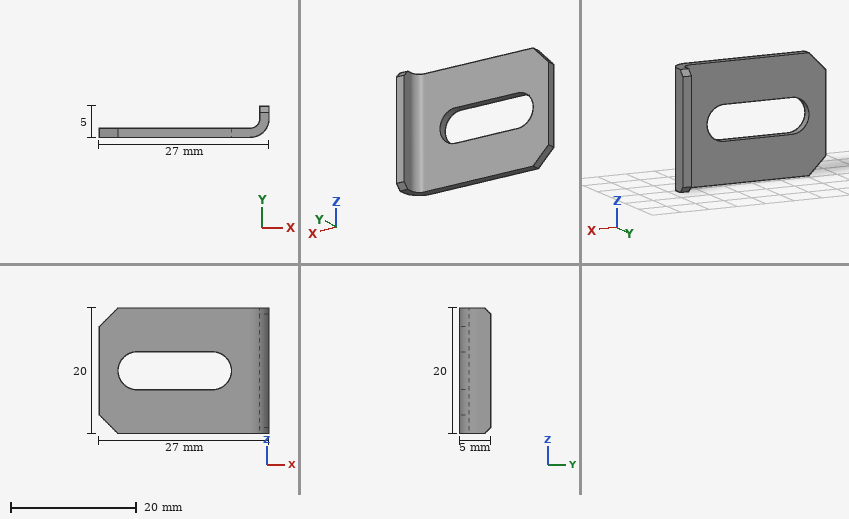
import cadquery as cq

length = 27.0
depth = 5.0
height = 20.0
thickness = 1.5
inner_bend_radius = 1.5
plate_chamfer = 3.0
flange_chamfer = 1.0
slot_width = 6.0
slot_length = 18.0
slot_margin = 3.0

outer_bend_radius = inner_bend_radius + thickness
slot_center_x = slot_margin + slot_length / 2


def bent_sheet():
    """L-shaped sheet: a plate along X with a short flange turned toward +Y."""
    sheet = (
        cq.Workplane("XY")
        .moveTo(0, 0)
        .lineTo(length - outer_bend_radius, 0)
        .radiusArc((length, outer_bend_radius), -outer_bend_radius)
        .lineTo(length, depth)
        .lineTo(length - thickness, depth)
        .lineTo(length - thickness, outer_bend_radius)
        .radiusArc((length - outer_bend_radius, thickness), inner_bend_radius)
        .lineTo(0, thickness)
        .close()
        .extrude(height / 2, both=True)
    )
    return sheet


def chamfer_corners(sheet):
    """Bevel the two plate corners and the two flange corners."""
    beveled = sheet.faces("<X").edges("|Y").chamfer(plate_chamfer)
    return beveled.faces(">Y").edges("|X").chamfer(flange_chamfer)


def slot_cutter():
    """Round-ended slot along X, passing through the plate only."""
    return (
        cq.Workplane("XZ")
        .center(slot_center_x, 0)
        .slot2D(slot_length, slot_width)
        .extrude(-thickness)
    )


result = chamfer_corners(bent_sheet()).cut(slot_cutter())